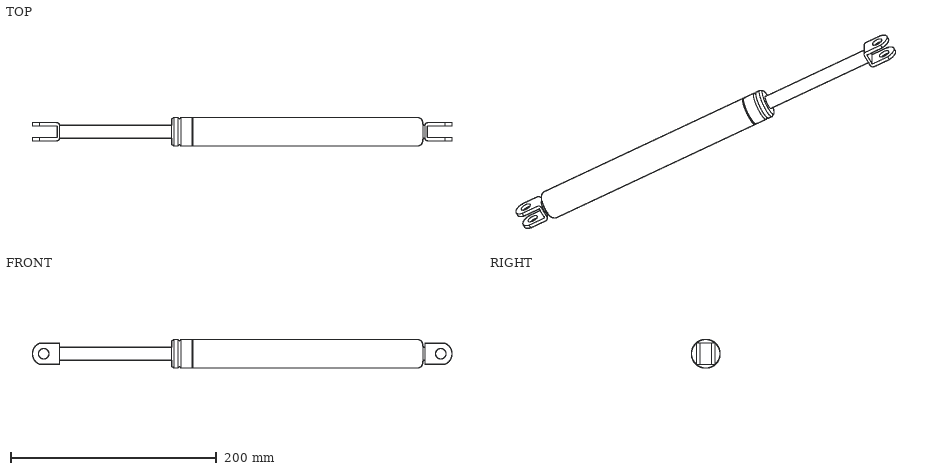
import cadquery as cq
import math

total_length = 408.0
half_length = total_length / 2

fork_length = 26.5
fork_width = 18.0
fork_height = 20.6
ear_thickness = 3.5
fork_base_thickness = 2.5
fork_bend_radius = 3.0
ear_radius = 11.0
pin_hole_diameter = 10.0
fork_base = half_length - fork_length
fork_center = half_length - fork_length / 2

rod_diameter = 13.0

tube_diameter = 28.2
tube_radius = tube_diameter / 2
tube_front = -68.6
tube_back = 175.5
front_chamfer_length = 2.5
front_chamfer_depth = 1.5
back_edge_radius = 5.5

bead_center = tube_front + 7.6
bead_width = 2.6
bead_depth = 1.3

ring_groove_center = tube_front + 20.4
ring_groove_width = 1.0
ring_groove_depth = 0.5

neck_diameter = 12.5
neck_fillet_radius = 2.0


def make_fork():
    """Fork at the +X end, opening towards +X, with a pin hole along Y through both ears."""
    half_height = fork_height / 2
    pin_x = half_length - ear_radius
    arc_start_x = pin_x + math.sqrt(ear_radius**2 - half_height**2)

    bent_block = (
        cq.Workplane("XY")
        .box(fork_length, fork_width, fork_height)
        .edges("<X and |Z")
        .fillet(fork_bend_radius)
        .translate((fork_center, 0, 0))
    )
    slot = (
        cq.Workplane("XY")
        .box(fork_length, fork_width - 2 * ear_thickness, fork_height)
        .translate((fork_center + fork_base_thickness, 0, 0))
    )
    ear_outline = (
        cq.Workplane("XZ")
        .moveTo(fork_base, -half_height)
        .lineTo(arc_start_x, -half_height)
        .threePointArc((half_length, 0), (arc_start_x, half_height))
        .lineTo(fork_base, half_height)
        .close()
        .extrude(fork_width / 2, both=True)
    )
    pin_hole = (
        cq.Workplane("XZ")
        .center(pin_x, 0)
        .circle(pin_hole_diameter / 2)
        .extrude(fork_width / 2, both=True)
    )
    return bent_block.cut(slot).intersect(ear_outline).cut(pin_hole)


def make_rod():
    """Piston rod and its fork; the shaft meets the fork base and ends against the tube front."""
    shaft_start = -fork_base - fork_base_thickness
    shaft = (
        cq.Workplane("YZ", origin=(shaft_start, 0, 0))
        .circle(rod_diameter / 2)
        .extrude(tube_front - shaft_start)
    )
    return shaft.union(make_fork().mirror("YZ"))


def make_cylinder():
    """Turned tube with its grooves and neck, joined to the rear fork."""
    bead_start = bead_center - bead_width / 2
    bead_end = bead_center + bead_width / 2
    groove_start = ring_groove_center - ring_groove_width / 2
    groove_end = ring_groove_center + ring_groove_width / 2
    groove_floor = tube_radius - ring_groove_depth
    neck_radius = neck_diameter / 2
    neck_end = fork_base + fork_base_thickness

    tube = (
        cq.Workplane("XZ")
        .moveTo(tube_front, 0)
        .lineTo(tube_front, tube_radius - front_chamfer_depth)
        .lineTo(tube_front + front_chamfer_length, tube_radius)
        .lineTo(bead_start, tube_radius)
        .threePointArc((bead_center, tube_radius - bead_depth), (bead_end, tube_radius))
        .lineTo(groove_start, tube_radius)
        .lineTo(groove_start, groove_floor)
        .lineTo(groove_end, groove_floor)
        .lineTo(groove_end, tube_radius)
        .lineTo(tube_back - back_edge_radius, tube_radius)
        .radiusArc((tube_back, tube_radius - back_edge_radius), back_edge_radius)
        .lineTo(tube_back, neck_radius + neck_fillet_radius)
        .radiusArc((tube_back + neck_fillet_radius, neck_radius), -neck_fillet_radius)
        .lineTo(neck_end, neck_radius)
        .lineTo(neck_end, 0)
        .close()
        .revolve(360, (0, 0, 0), (1, 0, 0))
    )
    return tube.union(make_fork())


rod = make_rod().solids()
cylinder = make_cylinder().solids()

result = cq.Compound.makeCompound([rod.val(), cylinder.val()])